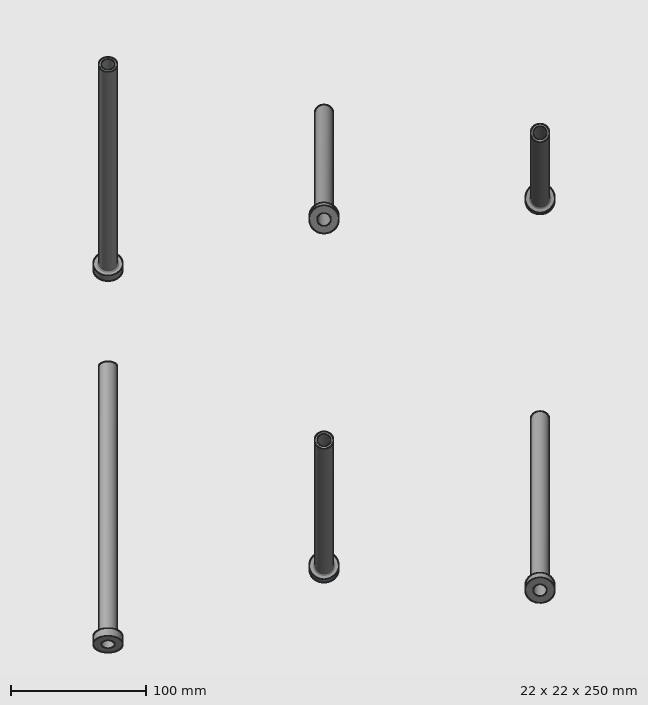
import cadquery as cq

total_length = 250.0
shaft_diameter = 14.0
head_diameter = 22.0
head_thickness = 7.0
bore_diameter = 10.0
neck_fillet_radius = 0.8

shaft_radius = shaft_diameter / 2
head_radius = head_diameter / 2
bore_radius = bore_diameter / 2


def make_sleeve():
    """Headed tube, revolved about Z with its head resting on the XY plane."""
    half_section = (
        cq.Workplane("XZ")
        .moveTo(-bore_radius, 0)
        .lineTo(-head_radius, 0)
        .lineTo(-head_radius, head_thickness)
        .lineTo(-shaft_radius - neck_fillet_radius, head_thickness)
        .radiusArc((-shaft_radius, head_thickness + neck_fillet_radius), -neck_fillet_radius)
        .lineTo(-shaft_radius, total_length)
        .lineTo(-bore_radius, total_length)
        .close()
    )
    return half_section.revolve(360, (0, 0, 0), (0, 1, 0))


result = make_sleeve()